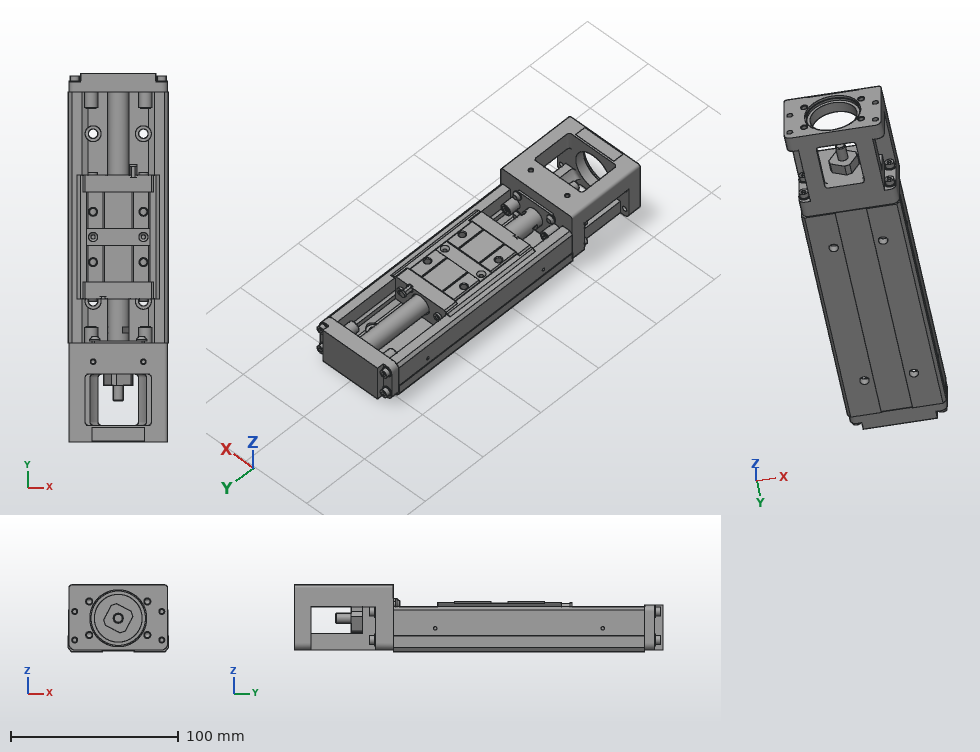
import cadquery as cq
import math


rail_length = 150.0
rail_width = 60.0
rail_upper_width = 59.4
rail_height = 27.0
rail_step_z = 9.3
rail_step = (rail_width - rail_upper_width) / 2
rail_top_chamfer = 2.0
foot_chamfer_x = 2.0
foot_chamfer_z = 2.5
foot_gap_width = 19.0
foot_gap_height = 0.5
channel_half_width = 21.5
channel_floor_z = 6.5
channel_slope_width = 3.5
channel_slope_height = 2.0
ball_groove_z = 14.0
ball_groove_diameter = 4.0
mount_hole_x = 15.0
mount_hole_y = (25.0, rail_length - 25.0)
mount_hole_diameter = 5.5
mount_bore_diameter = 9.5
mount_bore_depth = 1.0
side_hole_diameter = 2.0
side_hole_depth = 3.0

screw_z = 20.0
screw_diameter = 13.0
wrench_flat_start_y = 6.0
wrench_flat_length = 3.7
wrench_across_flats = 10.0
wrench_flat_angle = 27.8
shaft_diameter = 6.0
shaft_end_y = -34.5
shaft_chamfer = 0.6
stop_x = 16.2
stop_diameter = 8.0
stop_length = 9.4
stop_tip_diameter = 6.0
stop_tip_length = 0.6

end_width = 59.0
end_bottom_z = 1.0
end_core_half_width = 22.5
end_corner_radius = 4.0
end_screw_x = 26.0
end_screw_z = (7.0, 24.0)
end_head_diameter = 5.5
end_head_length = 3.0
washer_diameter = 7.0
washer_thickness = 0.5
hex_socket_size = 2.5
hex_socket_depth = 1.3

plate_thickness = 11.0
plate_flange_thickness = 6.0
plate_top_z = 28.0

bracket_length = 59.0
bracket_top_z = 40.0
bracket_top_radius = 2.0
pocket_start_y = -10.7
window_start_y = -18.5
window_end_y = -49.0
top_window_width = 39.5
window_corner_radius = 2.0
side_window_bottom_z = 11.0
side_window_top_z = 26.8
bottom_window_width = 24.0
cradle_diameter = 38.2
pilot_diameter = 34.0
pilot_depth = 1.5
pilot_step_diameter = 32.5
pilot_step_depth = 3.0
motor_bore_diameter = 28.5
motor_circle_radius = 20.0
motor_hole_diameter = 3.3
motor_hole_mouth = 4.2
motor_hole_depth = 8.0
access_hole_diameter = 3.5
lid_hole_x = 15.0
lid_hole_y = -11.0
lid_hole_diameter = 2.5
lid_hole_mouth = 3.3
lid_hole_depth = 6.0
label_width = 31.5
label_height = 8.0
label_depth = 0.1
label_y = -54.4

nut_across_flats = 14.5
nut_corner_width = 3.3
nut_length = 6.6
nut_angle = 27.8
retainer_width = 28.4
retainer_height = 23.6
retainer_thickness = 1.4
retainer_screw_x = 13.9
retainer_screw_dz = 8.5
retainer_head_diameter = 6.3
retainer_head_tip = 3.3
retainer_rim_length = 0.8
retainer_dome_length = 1.8

carriage_mid_y = 63.4
cap_length = 10.0
block_length = 53.8
carriage_length = block_length + 2 * cap_length
carriage_start_y = carriage_mid_y - carriage_length / 2
carriage_end_y = carriage_mid_y + carriage_length / 2
carriage_bottom_z = 10.0
body_half_width = 20.7
wing_half_width = 24.5
wing_top_half_width = 22.4
wing_bottom_z = 27.3
wing_top_z = 28.5
cap_top_z = 29.4
cap_half_width = 21.0
cap_top_half_width = 19.8
pad_top_z = 30.0
pad_half_width = 18.8
pad_top_half_width = 18.0
band_width = 10.0
band_top_z = 29.0
pad_groove_x = 8.6
pad_groove_width = 0.7
pad_groove_depth = 0.4
screw_clearance_diameter = 14.5
table_hole_x = 15.0
table_hole_spacing = 30.0
table_hole_diameter = 4.2
table_hole_mouth = 5.3
table_hole_depth = 9.0
band_hole_diameter = 2.5
band_hole_mouth = 5.5
band_hole_depth = 6.0
cap_screw_x = 15.2
cap_screw_z = 20.8
cap_head_diameter = 5.5
cap_head_length = 1.6
grease_x = 9.0
grease_z = 27.0
grease_recess_diameter = 5.2
grease_recess_depth = 1.3
nipple_across_corners = 4.2
nipple_neck_length = 5.0
nipple_head_diameter = 4.5
nipple_head_length = 1.4

both_sides = (-1, 1)
drill_point_angle = math.radians(59)


def box(x0, x1, y0, y1, z0, z1):
    """Block between opposite corners."""
    return cq.Workplane("XY").box(x1 - x0, y1 - y0, z1 - z0, centered=False).translate((x0, y0, z0))


def bar_y(x, z, diameter, y0, y1):
    """Round bar along Y from y0 to y1."""
    return cq.Workplane(cq.Solid.makeCylinder(diameter / 2, abs(y1 - y0), cq.Vector(x, min(y0, y1), z),
                                              cq.Vector(0, 1, 0)))


def bar_z(x, y, diameter, z0, z1):
    """Round bar along Z from z0 up to z1."""
    return cq.Workplane(cq.Solid.makeCylinder(diameter / 2, z1 - z0, cq.Vector(x, y, z0)))


def extrude_y(points, y0, y1):
    """Closed outline of (x, z) points swept from y0 to y1."""
    return cq.Workplane("XZ").polyline(points).close().extrude(y0 - y1).translate((0, y0, 0))


def symmetric(half):
    """Whole outline from its right half, listed from the bottom to the top."""
    return half + [(-x, z) for x, z in reversed(half)]


def drilled_hole(mouth_diameter, diameter, depth):
    """Cutter for a pointed hole along -Z with a 45 degree mouth, opening at the origin."""
    mouth = mouth_diameter / 2
    radius = diameter / 2
    profile = [(0, 0), (mouth, 0), (radius, radius - mouth), (radius, -depth),
               (0, -depth - radius / math.tan(drill_point_angle))]
    return cq.Workplane("XZ").polyline(profile).close().revolve(360, (0, 0), (0, 1))


def hex_socket(x, z, face_y, direction):
    """Cutter for a hexagon socket sunk into a face that looks along +Y or -Y, as direction says."""
    socket = cq.Workplane("XZ").polygon(6, hex_socket_size / math.cos(math.pi / 6))
    return socket.extrude(direction * hex_socket_depth).translate((x, face_y, z))


def socket_screw_head(x, z, y0, direction):
    """Washer and socket head standing on the face at y0; direction is +1 or -1 along Y."""
    head_start = y0 + direction * washer_thickness
    head_end = head_start + direction * end_head_length
    washer = bar_y(x, z, washer_diameter, y0, head_start)
    head = bar_y(x, z, end_head_diameter, y0, head_end)
    return washer.union(head).cut(hex_socket(x, z, head_end, direction))


def make_rail():
    outline = symmetric([
        (foot_gap_width / 2, foot_gap_height),
        (foot_gap_width / 2, 0),
        (rail_width / 2 - foot_chamfer_x, 0),
        (rail_width / 2, foot_chamfer_z),
        (rail_width / 2, rail_step_z),
        (rail_upper_width / 2, rail_step_z + rail_step),
        (rail_upper_width / 2, rail_height - rail_top_chamfer),
        (rail_upper_width / 2 - rail_top_chamfer, rail_height),
        (channel_half_width, rail_height),
        (channel_half_width, channel_floor_z + channel_slope_height),
        (channel_half_width - channel_slope_width, channel_floor_z),
    ])
    rail = extrude_y(outline, 0, rail_length)
    bore_z = channel_floor_z - mount_bore_depth
    for side in both_sides:
        rail = rail.cut(bar_y(side * channel_half_width, ball_groove_z, ball_groove_diameter, 0, rail_length))
        for y in mount_hole_y:
            rail = rail.cut(bar_z(side * mount_hole_x, y, mount_hole_diameter, 0, rail_height))
            rail = rail.cut(bar_z(side * mount_hole_x, y, mount_bore_diameter, bore_z, rail_height))
            side_hole = cq.Solid.makeCylinder(
                side_hole_diameter / 2, side_hole_depth,
                cq.Vector(side * rail_upper_width / 2, y, ball_groove_z), cq.Vector(-side, 0, 0))
            rail = rail.cut(cq.Workplane(side_hole))
    return rail


def make_screw():
    screw = bar_y(0, screw_z, screw_diameter, 0, rail_length)
    flats_end_y = wrench_flat_start_y + wrench_flat_length
    for side in both_sides:
        inner_x = side * wrench_across_flats / 2
        outer_x = side * screw_diameter
        flat = box(min(inner_x, outer_x), max(inner_x, outer_x), wrench_flat_start_y, flats_end_y,
                   -screw_diameter, screw_diameter)
        flat = flat.rotate((0, 0, 0), (0, 1, 0), -wrench_flat_angle)
        screw = screw.cut(flat.translate((0, 0, screw_z)))
    shaft = bar_y(0, screw_z, shaft_diameter, shaft_end_y, 0).faces("<Y").chamfer(shaft_chamfer)
    return screw.union(shaft)


def make_stop(x, y0, direction):
    """End stop standing on the face at y0, with a narrower tip that has a hexagon socket."""
    body_end = y0 + direction * stop_length
    tip_end = body_end + direction * stop_tip_length
    body = bar_y(x, screw_z, stop_diameter, y0, body_end)
    stop = body.union(bar_y(x, screw_z, stop_tip_diameter, y0, tip_end))
    return stop.cut(hex_socket(x, screw_z, tip_end, direction))


def make_rear_plate():
    start_y = rail_length
    flange_y = start_y + plate_flange_thickness
    end_y = start_y + plate_thickness
    plate = box(-end_width / 2, end_width / 2, start_y, end_y, end_bottom_z, plate_top_z)
    plate = plate.edges("|Y").fillet(end_corner_radius)
    for side in both_sides:
        inner_x = side * end_core_half_width
        outer_x = side * end_width / 2
        plate = plate.cut(box(min(inner_x, outer_x), max(inner_x, outer_x), flange_y, end_y,
                              end_bottom_z, plate_top_z))
    for side in both_sides:
        for z in end_screw_z:
            plate = plate.union(socket_screw_head(side * end_screw_x, z, flange_y, 1))
        plate = plate.union(make_stop(side * stop_x, start_y, -1))
    return plate


def cut_bracket_windows(bracket):
    for side in both_sides:
        inner_x = side * end_core_half_width
        outer_x = side * end_width / 2
        bracket = bracket.cut(box(min(inner_x, outer_x), max(inner_x, outer_x), window_end_y, pocket_start_y,
                                  end_bottom_z, side_window_top_z))
    bracket = bracket.cut(box(-end_width / 2, end_width / 2, window_end_y, window_start_y,
                              side_window_bottom_z, side_window_top_z))
    top_window = box(-top_window_width / 2, top_window_width / 2, window_end_y, window_start_y,
                     side_window_bottom_z, bracket_top_z).edges("|Z").fillet(window_corner_radius)
    bottom_window = box(-bottom_window_width / 2, bottom_window_width / 2, window_end_y, window_start_y,
                        end_bottom_z, screw_z).edges("|Z").fillet(window_corner_radius)
    cradle = bar_y(0, screw_z, cradle_diameter, window_end_y, window_start_y)
    cradle = cradle.faces("<Y or >Y").edges().fillet(window_corner_radius)
    return bracket.cut(top_window).cut(bottom_window).cut(cradle)


def cut_motor_mount(bracket):
    front_y = -bracket_length
    bracket = bracket.cut(bar_y(0, screw_z, motor_bore_diameter, front_y, window_end_y))
    bracket = bracket.cut(bar_y(0, screw_z, pilot_diameter, front_y, front_y + pilot_depth))
    bracket = bracket.cut(bar_y(0, screw_z, pilot_step_diameter, front_y, front_y + pilot_step_depth))
    hole = drilled_hole(motor_hole_mouth, motor_hole_diameter, motor_hole_depth)
    hole = hole.rotate((0, 0, 0), (1, 0, 0), 90)
    for angle in (30, 150, 210, 330):
        x = motor_circle_radius * math.cos(math.radians(angle))
        dz = motor_circle_radius * math.sin(math.radians(angle))
        bracket = bracket.cut(hole.translate((x, front_y, screw_z + dz)))
    for side in both_sides:
        for z in end_screw_z:
            bracket = bracket.cut(bar_y(side * end_screw_x, z, access_hole_diameter, front_y, window_end_y))
    return bracket


def make_nut():
    nut = cq.Workplane("XZ").rect(nut_across_flats, nut_across_flats).extrude(nut_length)
    nut = nut.edges("|Y").chamfer(nut_corner_width / math.sqrt(2))
    nut = nut.rotate((0, 0, 0), (0, 1, 0), nut_angle)
    return nut.translate((0, window_start_y, screw_z))


def make_retainer():
    retainer = box(-retainer_width / 2, retainer_width / 2, 0, retainer_thickness,
                   screw_z - retainer_height / 2, screw_z + retainer_height / 2)
    for side in both_sides:
        for dz in (-retainer_screw_dz, retainer_screw_dz):
            x = side * retainer_screw_x
            z = screw_z + dz
            rim_end = retainer_thickness + retainer_rim_length
            rim = bar_y(x, z, retainer_head_diameter, retainer_thickness, rim_end)
            dome = cq.Workplane(cq.Solid.makeCone(
                retainer_head_diameter / 2, retainer_head_tip / 2, retainer_dome_length,
                cq.Vector(x, rim_end, z), cq.Vector(0, 1, 0)))
            shank = bar_y(x, z, retainer_head_tip, 0, rim_end)
            retainer = retainer.union(shank).union(rim).union(dome)
    return retainer


def make_bracket():
    bracket = box(-end_width / 2, end_width / 2, -bracket_length, 0, end_bottom_z, bracket_top_z)
    bracket = bracket.edges("|Y and <Z").fillet(end_corner_radius)
    bracket = bracket.edges("|Y and >Z").fillet(bracket_top_radius)
    bracket = cut_bracket_windows(bracket)
    bracket = cut_motor_mount(bracket)
    lid_hole = drilled_hole(lid_hole_mouth, lid_hole_diameter, lid_hole_depth)
    for side in both_sides:
        bracket = bracket.cut(lid_hole.translate((side * lid_hole_x, lid_hole_y, bracket_top_z)))
    bracket = bracket.cut(box(-label_width / 2, label_width / 2, label_y - label_height / 2,
                              label_y + label_height / 2, bracket_top_z - label_depth, bracket_top_z))
    for side in both_sides:
        for z in end_screw_z:
            bracket = bracket.union(socket_screw_head(side * end_screw_x, z, pocket_start_y, -1))
        bracket = bracket.union(make_stop(side * stop_x, 0, 1))
    return bracket.union(make_nut()).union(make_retainer())


def make_base():
    """Fixed body: rail, screw, rear plate and motor bracket."""
    return make_rail().union(make_rear_plate()).union(make_bracket()).union(make_screw())


def make_carriage_body():
    body = extrude_y(symmetric([
        (body_half_width, carriage_bottom_z),
        (body_half_width, wing_bottom_z),
        (wing_half_width, wing_bottom_z),
        (wing_top_half_width, wing_top_z),
    ]), carriage_start_y, carriage_end_y)
    cap_outline = symmetric([
        (cap_half_width, wing_top_z),
        (cap_top_half_width, cap_top_z),
    ])
    body = body.union(extrude_y(cap_outline, carriage_start_y, carriage_start_y + cap_length))
    body = body.union(extrude_y(cap_outline, carriage_end_y - cap_length, carriage_end_y))
    pad_outline = symmetric([
        (pad_half_width, wing_top_z),
        (pad_half_width, band_top_z),
        (pad_top_half_width, pad_top_z),
    ])
    pads = extrude_y(pad_outline, carriage_start_y + cap_length, carriage_end_y - cap_length)
    for side in both_sides:
        groove_x = side * pad_groove_x
        pads = pads.cut(box(groove_x - pad_groove_width / 2, groove_x + pad_groove_width / 2,
                            carriage_start_y, carriage_end_y, pad_top_z - pad_groove_depth, pad_top_z))
    pads = pads.cut(box(-pad_half_width, pad_half_width, carriage_mid_y - band_width / 2,
                        carriage_mid_y + band_width / 2, band_top_z, pad_top_z))
    return body.union(pads)


def make_nipple():
    neck_start = carriage_end_y - grease_recess_depth
    head_start = carriage_end_y + nipple_neck_length
    neck = cq.Workplane("XZ").polygon(6, nipple_across_corners).extrude(neck_start - head_start)
    neck = neck.translate((grease_x, neck_start, grease_z))
    head = bar_y(grease_x, grease_z, nipple_head_diameter, head_start, head_start + nipple_head_length)
    return neck.union(head)


def make_carriage():
    """Moving body: table block, end caps, their screws and the grease nipple."""
    carriage = make_carriage_body()
    carriage = carriage.cut(bar_y(0, screw_z, screw_clearance_diameter, carriage_start_y, carriage_end_y))
    table_hole = drilled_hole(table_hole_mouth, table_hole_diameter, table_hole_depth)
    band_hole = drilled_hole(band_hole_mouth, band_hole_diameter, band_hole_depth)
    for side in both_sides:
        for end in both_sides:
            y = carriage_mid_y + end * table_hole_spacing / 2
            carriage = carriage.cut(table_hole.translate((side * table_hole_x, y, pad_top_z)))
        carriage = carriage.cut(band_hole.translate((side * table_hole_x, carriage_mid_y, band_top_z)))
        head_start_y = carriage_start_y - cap_head_length
        head_end_y = carriage_end_y + cap_head_length
        screw_x = side * cap_screw_x
        carriage = carriage.union(bar_y(screw_x, cap_screw_z, cap_head_diameter, head_start_y, head_end_y))
        carriage = carriage.cut(hex_socket(screw_x, cap_screw_z, head_start_y, -1))
        carriage = carriage.cut(hex_socket(screw_x, cap_screw_z, head_end_y, 1))
    carriage = carriage.cut(bar_y(-grease_x, grease_z, grease_recess_diameter,
                                  carriage_start_y, carriage_start_y + grease_recess_depth))
    carriage = carriage.cut(bar_y(grease_x, grease_z, grease_recess_diameter,
                                  carriage_end_y - grease_recess_depth, carriage_end_y))
    return carriage.union(make_nipple())


base = make_base()
carriage = make_carriage()
result = cq.Compound.makeCompound([*base.solids().vals(), *carriage.solids().vals()])